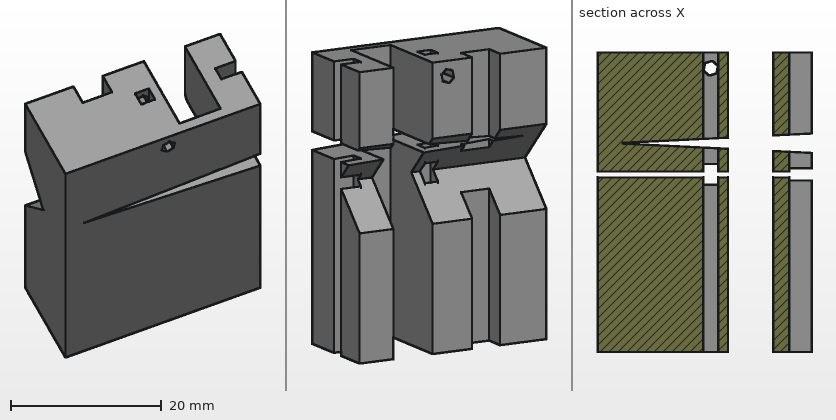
import cadquery as cq

WIDTH = 12.95
DEPTH = 28.45
HEIGHT = 39.83

NOTCH_DEPTH = 5.8
NOTCH_CENTER_Z = 23.6

SLIT_LENGTH = 25.75
SLIT_MOUTH = 2.55
SLIT_CENTER_Z = 27.75

WIDE_CHANNEL_OFFSET = 5.15
WIDE_CHANNEL_WIDTH = 5.97
WALL_BEHIND_CHANNEL = 1.47
SHALLOW_CHANNEL_OFFSET = 17.13
SHALLOW_CHANNEL_WIDTH = 4.25
GROOVE_DEPTH = 3.0
BACK_GROOVE_X = 5.0
BACK_GROOVE_WIDTH = 2.0

SHAFT_SIDE = 2.0
SHAFT_X = 4.45
SHAFT_OFFSET = 12.43
CROSS_HOLE_DIAMETER = 2.0
CROSS_HOLE_SIDES = 6
CROSS_HOLE_TURN = 18.0
CROSS_HOLE_OFFSET = SHAFT_OFFSET + SHAFT_SIDE / 2
CROSS_HOLE_DROP = 2.1


def vertical_cut(x_start, x_size, back_offset, y_size):
    """Full-height box whose rear side lies back_offset from the back face."""
    y_start = DEPTH - back_offset - y_size
    return cq.Workplane("XY").box(x_size, y_size, HEIGHT, centered=False).translate((x_start, y_start, 0))


def v_notch():
    profile = [
        (0, NOTCH_CENTER_Z - NOTCH_DEPTH),
        (NOTCH_DEPTH, NOTCH_CENTER_Z),
        (0, NOTCH_CENTER_Z + NOTCH_DEPTH),
    ]
    return cq.Workplane("XZ").polyline(profile).close().extrude(-DEPTH)


def tapered_slit():
    profile = [
        (DEPTH - SLIT_LENGTH, SLIT_CENTER_Z),
        (DEPTH, SLIT_CENTER_Z - SLIT_MOUTH / 2),
        (DEPTH, SLIT_CENTER_Z + SLIT_MOUTH / 2),
    ]
    return cq.Workplane("YZ").polyline(profile).close().extrude(WIDTH)


def cross_hole():
    return (
        cq.Workplane("YZ")
        .center(DEPTH - CROSS_HOLE_OFFSET, HEIGHT - CROSS_HOLE_DROP)
        .transformed(rotate=(0, 0, CROSS_HOLE_TURN))
        .polygon(CROSS_HOLE_SIDES, CROSS_HOLE_DIAMETER)
        .extrude(WIDTH)
    )


wide_channel = vertical_cut(0, WIDTH - WALL_BEHIND_CHANNEL, WIDE_CHANNEL_OFFSET, WIDE_CHANNEL_WIDTH)
shallow_channel = vertical_cut(0, GROOVE_DEPTH, SHALLOW_CHANNEL_OFFSET, SHALLOW_CHANNEL_WIDTH)
back_groove = vertical_cut(BACK_GROOVE_X, BACK_GROOVE_WIDTH, 0, GROOVE_DEPTH)
square_shaft = vertical_cut(SHAFT_X, SHAFT_SIDE, SHAFT_OFFSET, SHAFT_SIDE)

result = cq.Workplane("XY").box(WIDTH, DEPTH, HEIGHT, centered=False)
for cut in (
    v_notch(),
    tapered_slit(),
    cross_hole(),
    wide_channel,
    shallow_channel,
    back_groove,
    square_shaft,
):
    result = result.cut(cut)